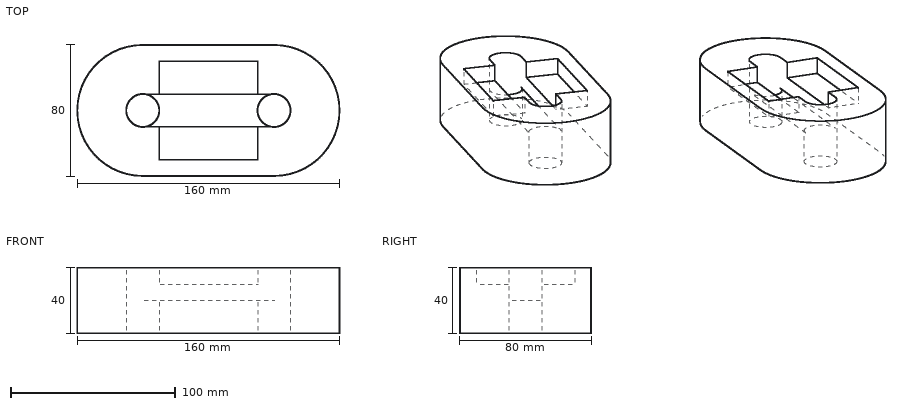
import cadquery as cq

length = 160.0
width = length / 2
height = width / 2

hole_diameter = 20.0
hole_spacing = length - width

pocket_side = 60.0
pocket_depth = height / 4
slot_depth = height / 2


def make_body():
    """Block with fully rounded ends, standing on the XY plane."""
    return cq.Workplane("XY").slot2D(length, width).extrude(height)


def make_pocket():
    """Shallow square recess in the middle of the top face."""
    return (
        cq.Workplane("XY", origin=(0, 0, height))
        .rect(pocket_side, pocket_side)
        .extrude(-pocket_depth)
    )


def make_slot():
    """Deeper round-ended slot that joins the two holes."""
    return (
        cq.Workplane("XY", origin=(0, 0, height))
        .slot2D(hole_spacing + hole_diameter, hole_diameter)
        .extrude(-slot_depth)
    )


def make_holes():
    """Two vertical holes through the full height."""
    return (
        cq.Workplane("XY")
        .rarray(hole_spacing, 1.6, 2, 1)
        .circle(hole_diameter / 2)
        .extrude(height)
    )


result = make_body().cut(make_pocket()).cut(make_slot()).cut(make_holes())